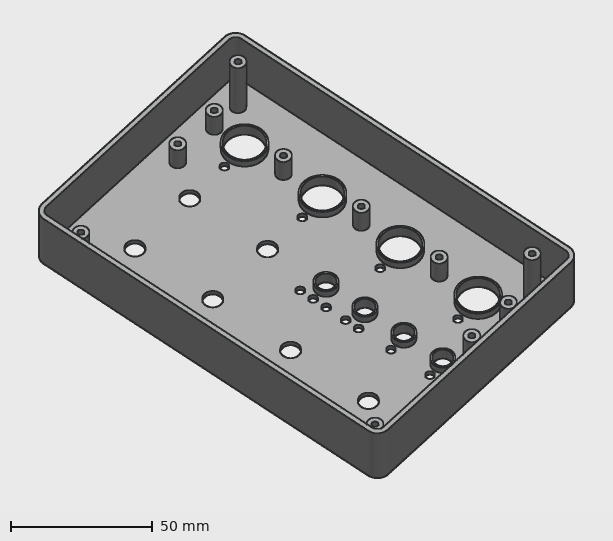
import cadquery as cq

LENGTH = 160.0
WIDTH = 110.0
WALL_TOP = 25.0
WALL = 2.0
FLOOR = 2.0
CORNER_RADIUS = 5.0

POST_DIAMETER = 6.0
POST_BORE = 2.5
SHORT_POST_HEIGHT = 10.0
TALL_POST_HEIGHT = 25.0
POST_X = 68.0
POST_END_Y = 43.0
POST_MIDDLE_Y = 10.0

COLUMN_PITCH = 36.0
COLUMN_COUNT = 4
ROW_PITCH = 30.0
JACK_BORE = 15.5
JACK_COLLAR = 17.0
BUTTON_BORE = 7.5
BUTTON_COLLAR = 9.0
COLLAR_HEIGHT = 3.0
SHAFT_HOLE = 7.5

LIGHT_HOLE = 3.5
JACK_LIGHT_OFFSET = 11.0
BUTTON_LIGHT_OFFSET = 7.0
LIGHT_PITCH = 6.0
LIGHTS_PER_BUTTON = [3, 2, 1, 1]

column_xs = [(i - (COLUMN_COUNT - 1) / 2) * COLUMN_PITCH for i in range(COLUMN_COUNT)]
left_column_xs = [x for x in column_xs if x < 0]

button_pitch = COLUMN_PITCH / 2
button_xs = [button_pitch * (i + 0.5) for i in range(len(LIGHTS_PER_BUTTON))]

jack_points = [(x, ROW_PITCH) for x in column_xs]
button_points = [(x, 0) for x in button_xs]
shaft_points = [(x, 0) for x in left_column_xs]
shaft_points += [(x, -ROW_PITCH) for x in column_xs]

tall_post_points = [(-POST_X, POST_END_Y), (POST_X, POST_END_Y)]
short_post_ys = [ROW_PITCH, POST_MIDDLE_Y, -POST_END_Y]
short_post_points = [(side * POST_X, y) for side in (-1, 1) for y in short_post_ys]
short_post_points += [(x + COLUMN_PITCH / 2, ROW_PITCH) for x in column_xs[:-1]]


def rounded_block(length, width, height, radius, base_z):
    """Upright block with rounded vertical edges."""
    block = cq.Workplane("XY", origin=(0, 0, base_z)).rect(length, width).extrude(height)
    return block.edges("|Z").fillet(radius)


def cylinders(points, diameter, base_z, height):
    """Equal upright cylinders at the given points."""
    return cq.Workplane("XY", origin=(0, 0, base_z)).pushPoints(points).circle(diameter / 2).extrude(height)


def make_tray():
    outside = rounded_block(LENGTH, WIDTH, WALL_TOP, CORNER_RADIUS, 0)
    cavity = rounded_block(
        LENGTH - 2 * WALL, WIDTH - 2 * WALL, WALL_TOP - FLOOR, CORNER_RADIUS - WALL, FLOOR
    )
    return outside.cut(cavity)


def add_posts(body, points, height):
    body = body.union(cylinders(points, POST_DIAMETER, 0, FLOOR + height))
    return body.cut(cylinders(points, POST_BORE, FLOOR, height))


def add_collared_holes(body, points, bore, collar):
    top = FLOOR + COLLAR_HEIGHT
    body = body.union(cylinders(points, collar, 0, top))
    return body.cut(cylinders(points, bore, 0, top))


def light_points():
    """One light below each jack, and a centred row of lights below each button."""
    points = [(x, y - JACK_LIGHT_OFFSET) for x, y in jack_points]
    for (x, y), count in zip(button_points, LIGHTS_PER_BUTTON):
        for i in range(count):
            points.append((x + (i - (count - 1) / 2) * LIGHT_PITCH, y - BUTTON_LIGHT_OFFSET))
    return points


result = make_tray()
result = add_posts(result, tall_post_points, TALL_POST_HEIGHT)
result = add_posts(result, short_post_points, SHORT_POST_HEIGHT)
result = add_collared_holes(result, jack_points, JACK_BORE, JACK_COLLAR)
result = add_collared_holes(result, button_points, BUTTON_BORE, BUTTON_COLLAR)
result = result.cut(cylinders(shaft_points, SHAFT_HOLE, 0, FLOOR))
result = result.cut(cylinders(light_points(), LIGHT_HOLE, 0, FLOOR))